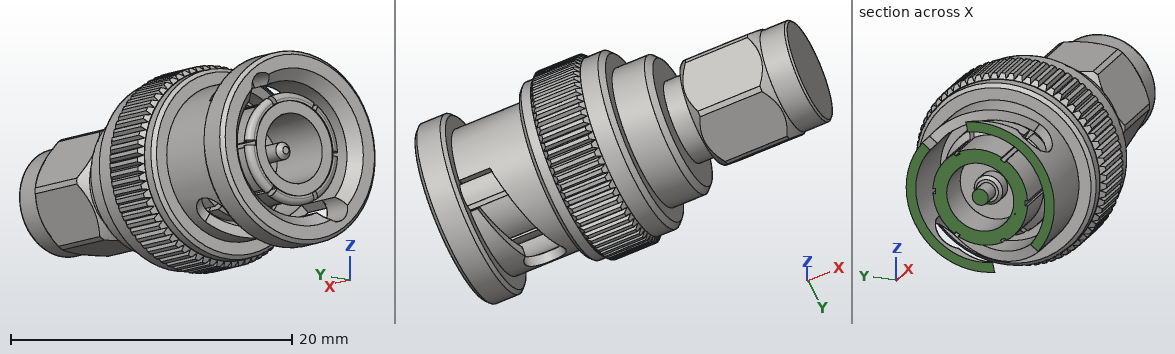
import cadquery as cq
import math

TOTAL_LENGTH = 27.94

FLANGE_RADIUS = 6.95
FLANGE_LENGTH = 2.4
FLANGE_CHAMFER = 0.28
SHELL_RADIUS = 5.67
COLLAR_RADIUS = 6.87
COLLAR_START = 8.18
COLLAR_END = 14.92
COLLAR_FRONT_CHAMFER = 0.28
COLLAR_REAR_CHAMFER = 0.4
STEP_RADIUS = 5.38
STEP_END = 17.92
STEP_CHAMFER = 0.45

KNURL_RADIUS = 7.25
KNURL_START = 9.21
KNURL_END = 13.13
KNURL_CHAMFER = 0.35
KNURL_TEETH = 70
KNURL_GROOVE_DEPTH = 0.3
KNURL_GROOVE_WIDTH = 0.35

MOUTH_RADIUS = 5.68
BORE_RADIUS = 4.9
MOUTH_DEPTH = 0.9
BORE_DEPTH = COLLAR_START

TRACK_ANGLES = (0, 180)
ENTRY_START_ANGLE = 38.9
ENTRY_END_ANGLE = 63.2
ENTRY_GROOVE_RADIUS = 1.07
ENTRY_GROOVE_OFFSET = 5.1
RAMP_ADVANCE = 9.36
RAMP_WIDTH = 2.45
RAMP_CENTER_X = 4.905
RAMP_CENTER_ANGLE = 90
LOCK_ANGLE = 127
RAMP_END_ANGLE = 123.5
LOCK_X = 5.46
LOCK_RADIUS = 1.56

SLEEVE_TIP = 0.6
SLEEVE_RADIUS = 3.63
BEAD_RADIUS = 4.06
BEAD_LENGTH = 0.9
FLARE_START = 6.5
FLARE_RADIUS = 4.16
SLEEVE_SLOTS = 6
SLEEVE_SLOT_WIDTH = 0.36
INSULATOR_TIP = 0.7
INSULATOR_RADIUS = 3.43
INSULATOR_BORE_RADIUS = 2.54
INSULATOR_BORE_DEPTH = 6.0

PIN_BASE_RADIUS = 1.085
PIN_BASE_SHOULDER_RADIUS = 0.85
PIN_BASE_START = 5.0
PIN_RADIUS = 0.63
PIN_TIP_START = 1.64
PIN_TIP_RADIUS = 0.27
PIN_TIP_LENGTH = 0.35

NECK_RADIUS = 3.17
NUT_START = 19.56
NUT_END = 25.88
NUT_ACROSS_FLATS = 8.0
NUT_CORNER_RADIUS = 4.5
NUT_CHAMFER_LENGTH = 0.72
END_RADIUS = 3.9
END_CHAMFER = 0.15


def revolved(outline):
    """Revolve a closed list of (x, radius) points about the X axis."""
    profile = cq.Workplane("XY").polyline(outline).close()
    return profile.revolve(360, (0, 0, 0), (1, 0, 0))


def cylinder(radius, start, end):
    return cq.Workplane("YZ", origin=(start, 0, 0)).circle(radius).extrude(end - start)


def on_circle(radius, angle):
    """Point in the YZ plane at an angle in degrees from +Y towards +Z."""
    turn = math.radians(angle)
    return radius * math.cos(turn), radius * math.sin(turn)


def sector(inner, outer, start_angle, end_angle, x):
    """Sketch a ring sector on the YZ plane at x."""
    middle = (start_angle + end_angle) / 2
    return (
        cq.Workplane("YZ", origin=(x, 0, 0))
        .moveTo(*on_circle(inner, start_angle))
        .lineTo(*on_circle(outer, start_angle))
        .threePointArc(on_circle(outer, middle), on_circle(outer, end_angle))
        .lineTo(*on_circle(inner, end_angle))
        .threePointArc(on_circle(inner, middle), on_circle(inner, start_angle))
        .close()
    )


def repeat_about_axis(shape, angles):
    copies = cq.Workplane("XY")
    for angle in angles:
        copies = copies.add(shape.rotate((0, 0, 0), (1, 0, 0), angle))
    return copies.combine()


def shell():
    collar_front = COLLAR_RADIUS - COLLAR_FRONT_CHAMFER
    return revolved([
        (0, 0),
        (0, FLANGE_RADIUS - FLANGE_CHAMFER),
        (FLANGE_CHAMFER, FLANGE_RADIUS),
        (FLANGE_LENGTH - FLANGE_CHAMFER, FLANGE_RADIUS),
        (FLANGE_LENGTH, FLANGE_RADIUS - FLANGE_CHAMFER),
        (FLANGE_LENGTH, SHELL_RADIUS),
        (COLLAR_START, SHELL_RADIUS),
        (COLLAR_START, collar_front),
        (COLLAR_START + COLLAR_FRONT_CHAMFER, COLLAR_RADIUS),
        (COLLAR_END - COLLAR_REAR_CHAMFER, COLLAR_RADIUS),
        (COLLAR_END, COLLAR_RADIUS - COLLAR_REAR_CHAMFER),
        (COLLAR_END, STEP_RADIUS),
        (STEP_END - STEP_CHAMFER, STEP_RADIUS),
        (STEP_END, STEP_RADIUS - STEP_CHAMFER),
        (STEP_END, 0),
    ])


def knurl():
    band = cylinder(KNURL_RADIUS, KNURL_START, KNURL_END)
    band = band.faces("<X or >X").chamfer(KNURL_CHAMFER)
    root = KNURL_RADIUS - KNURL_GROOVE_DEPTH
    half = KNURL_GROOVE_WIDTH / 2
    groove = (
        cq.Workplane("YZ", origin=(KNURL_START, 0, 0))
        .polyline([(root, 0), (KNURL_RADIUS, half), (KNURL_RADIUS + half, half),
                   (KNURL_RADIUS + half, -half), (KNURL_RADIUS, -half)])
        .close()
        .extrude(KNURL_END - KNURL_START)
    )
    pitch = 360 / KNURL_TEETH
    grooves = [groove.rotate((0, 0, 0), (1, 0, 0), i * pitch).val() for i in range(KNURL_TEETH)]
    return band.cut(cq.Workplane(cq.Compound.makeCompound(grooves)))


def bore():
    return revolved([
        (0, 0),
        (0, MOUTH_RADIUS),
        (MOUTH_DEPTH, BORE_RADIUS),
        (BORE_DEPTH, BORE_RADIUS),
        (BORE_DEPTH, 0),
    ])


def bayonet_track():
    inner = (BORE_RADIUS + SLEEVE_RADIUS) / 2
    outer = (SHELL_RADIUS + FLANGE_RADIUS) / 2

    entry_angle = (ENTRY_START_ANGLE + ENTRY_END_ANGLE) / 2
    groove = (
        cq.Workplane("YZ")
        .center(*on_circle(ENTRY_GROOVE_OFFSET, entry_angle))
        .circle(ENTRY_GROOVE_RADIUS)
        .extrude(FLANGE_LENGTH)
    )

    degrees_per_mm = 360 / RAMP_ADVANCE
    half_angle = RAMP_WIDTH * degrees_per_mm / 2
    ramp_length = COLLAR_START - FLANGE_LENGTH
    start_angle = RAMP_CENTER_ANGLE + (FLANGE_LENGTH - RAMP_CENTER_X) * degrees_per_mm
    helix = sector(inner, outer, start_angle - half_angle, start_angle + half_angle, FLANGE_LENGTH)
    helix = helix.twistExtrude(ramp_length, ramp_length * degrees_per_mm)
    window = sector(inner, outer, ENTRY_START_ANGLE, RAMP_END_ANGLE, FLANGE_LENGTH).extrude(ramp_length)
    ramp = helix.intersect(window)

    ramp_near_edge = RAMP_CENTER_X - RAMP_WIDTH / 2
    run_end = ramp_near_edge + (ENTRY_END_ANGLE - RAMP_CENTER_ANGLE) / degrees_per_mm
    run = sector(inner, outer, ENTRY_START_ANGLE, ENTRY_END_ANGLE, FLANGE_LENGTH)
    run = run.extrude(run_end - FLANGE_LENGTH)

    lock_hole = (
        cq.Workplane("XZ", origin=(LOCK_X, -inner, 0))
        .circle(LOCK_RADIUS)
        .extrude(outer - inner)
        .rotate((0, 0, 0), (1, 0, 0), LOCK_ANGLE - 180)
    )
    return groove.union(run).union(ramp).union(lock_hole)


def contact_sleeve():
    bead_end = SLEEVE_TIP + BEAD_LENGTH
    flare_end = FLARE_START + FLARE_RADIUS - SLEEVE_RADIUS
    body = (
        cq.Workplane("XY")
        .moveTo(INSULATOR_TIP, INSULATOR_BORE_RADIUS)
        .lineTo(INSULATOR_TIP, INSULATOR_RADIUS)
        .lineTo(SLEEVE_TIP, INSULATOR_RADIUS)
        .lineTo(SLEEVE_TIP, SLEEVE_RADIUS)
        .threePointArc((SLEEVE_TIP + BEAD_LENGTH / 2, BEAD_RADIUS), (bead_end, SLEEVE_RADIUS))
        .lineTo(FLARE_START, SLEEVE_RADIUS)
        .lineTo(flare_end, FLARE_RADIUS)
        .lineTo(BORE_DEPTH, FLARE_RADIUS)
        .lineTo(BORE_DEPTH, 0)
        .lineTo(INSULATOR_BORE_DEPTH, 0)
        .lineTo(INSULATOR_BORE_DEPTH, INSULATOR_BORE_RADIUS)
        .close()
        .revolve(360, (0, 0, 0), (1, 0, 0))
    )
    slot = cq.Workplane("XY").box(
        BORE_DEPTH - SLEEVE_TIP,
        BORE_RADIUS - INSULATOR_RADIUS,
        SLEEVE_SLOT_WIDTH,
        centered=(False, False, True),
    ).translate((SLEEVE_TIP, INSULATOR_RADIUS, 0))
    slot_angles = [i * 360 / SLEEVE_SLOTS for i in range(SLEEVE_SLOTS)]
    return body.cut(repeat_about_axis(slot, slot_angles))


def center_pin():
    shoulder_start = PIN_BASE_START - (PIN_BASE_RADIUS - PIN_BASE_SHOULDER_RADIUS)
    return revolved([
        (PIN_TIP_START, 0),
        (PIN_TIP_START, PIN_TIP_RADIUS),
        (PIN_TIP_START + PIN_TIP_LENGTH, PIN_RADIUS),
        (shoulder_start, PIN_RADIUS),
        (shoulder_start, PIN_BASE_SHOULDER_RADIUS),
        (PIN_BASE_START, PIN_BASE_RADIUS),
        (INSULATOR_BORE_DEPTH, PIN_BASE_RADIUS),
        (INSULATOR_BORE_DEPTH, 0),
    ])


def hex_nut():
    across_corners = NUT_ACROSS_FLATS / math.cos(math.pi / 6)
    prism = (
        cq.Workplane("YZ", origin=(NUT_START, 0, 0))
        .polygon(6, across_corners)
        .extrude(NUT_END - NUT_START)
    )
    rounding = revolved([
        (NUT_START, 0),
        (NUT_START, END_RADIUS),
        (NUT_START + NUT_CHAMFER_LENGTH, NUT_CORNER_RADIUS),
        (NUT_END - NUT_CHAMFER_LENGTH, NUT_CORNER_RADIUS),
        (NUT_END, END_RADIUS),
        (NUT_END, 0),
    ])
    return prism.intersect(rounding)


def end_ring():
    return cylinder(END_RADIUS, NUT_END, TOTAL_LENGTH).faces(">X").chamfer(END_CHAMFER)


tracks = repeat_about_axis(bayonet_track(), TRACK_ANGLES)
neck = cylinder(NECK_RADIUS, STEP_END, NUT_START)

result = (
    shell()
    .union(knurl())
    .cut(bore())
    .cut(tracks)
    .union(contact_sleeve())
    .union(center_pin())
    .union(neck)
    .union(hex_nut())
    .union(end_ring())
)